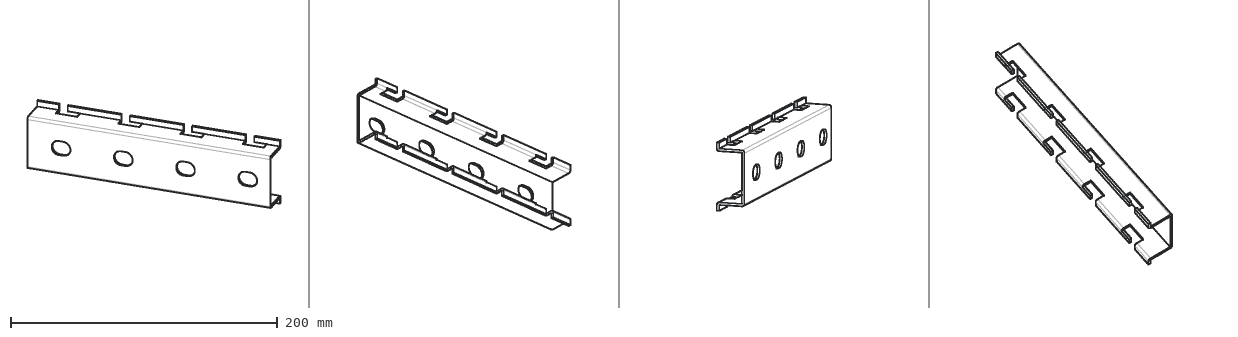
import cadquery as cq
import math

length = 195.0
depth = 22.0
overall_height = 52.0
thickness = 2.0

channel_height = 43.0

pitch = 50.0
pattern_count = 4

first_hole_x = 27.0
hole_length = 15.0
hole_height = 11.6

first_notch_x = 17.5
entry_width = 7.0
pocket_length = 17.0
notch_depth = 8.0

pattern_offsets = [i * pitch for i in range(pattern_count)]
top_z = overall_height / 2
flange_outer_z = channel_height / 2
flange_inner_z = flange_outer_z - thickness
lip_front_y = depth - thickness
pocket_front_y = depth - notch_depth

def box_between(x, y, z):
    """Box spanning the (low, high) pairs x, y and z."""
    size = [high - low for low, high in (x, y, z)]
    return cq.Workplane("XY").box(*size, centered=False).translate((x[0], y[0], z[0]))

def make_channel():
    """Channel with outward lips, made from its upper half and the mirror image of it."""
    arc_rise = thickness * math.sin(math.pi / 4)
    upper_half = (
        cq.Workplane("YZ")
        .moveTo(0, 0)
        .lineTo(0, flange_inner_z)
        .threePointArc((thickness - arc_rise, flange_inner_z + arc_rise), (thickness, flange_outer_z))
        .lineTo(lip_front_y, flange_outer_z)
        .lineTo(lip_front_y, top_z)
        .lineTo(depth, top_z)
        .lineTo(depth, flange_outer_z)
        .threePointArc((lip_front_y + arc_rise, flange_outer_z - arc_rise), (lip_front_y, flange_inner_z))
        .lineTo(thickness, flange_inner_z)
        .lineTo(thickness, 0)
        .close()
        .extrude(length)
    )
    return upper_half.union(upper_half.mirror("XY"))

def make_holes():
    """Obround cutters through the web."""
    centers = [(first_hole_x + offset, 0) for offset in pattern_offsets]
    return (
        cq.Workplane("XZ")
        .pushPoints(centers)
        .slot2D(hole_length, hole_height)
        .extrude(-thickness)
    )

def make_notch(x):
    """Cutter for both flanges at x: the entry splits the lips, the pocket passes below them."""
    y_span = (pocket_front_y, depth)
    entry = box_between((x, x + entry_width), y_span, (-top_z, top_z))
    pocket = box_between((x, x + pocket_length), y_span, (-flange_outer_z, flange_outer_z))
    return entry.union(pocket)

result = make_channel().cut(make_holes())
for offset in pattern_offsets:
    result = result.cut(make_notch(first_notch_x + offset))